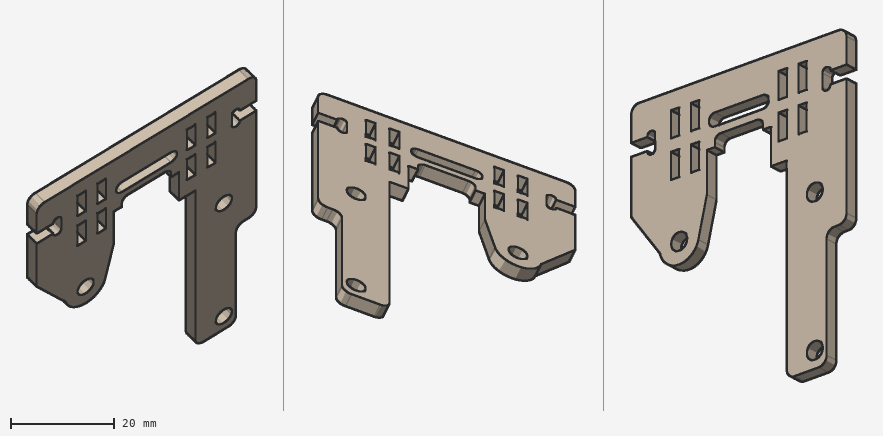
import cadquery as cq
import math

thickness = 3.0
width = 54.0
height = 71.0
half_width = width / 2
top = height / 2
corner_radius = 2.0
hole_diameter = 4.0

leg_inner_y = 12.0
leg_outer_y = 22.0
shoulder_z = top - 41.95

opening_half_width = 8.0
opening_z = top - 15.5
step_z = top - 24.0
recess_half_width = 6.0
recess_z = top - 12.9
recess_radius = 1.5

lug_y = -15.0
hole_z = top - 32.95
lug_radius = 5.0
lug_taper_z = top - 25.05
lug_outer_drop = 1.1

leg_hole_y = 19.0
lower_hole_z = -top + 4.0

slot_z = top - 9.5
slot_width = 3.0
slot_length = 15.0
notch_depth = 6.0
notch_end_width = 2.0
notch_end_length = 5.05

window_width = 2.05
leg_window_height = 6.2
lug_window_height = 6.0
window_offsets = (11.0, 16.0)
window_tops = (top - 4.1, top - 13.05)


def plate(outline):
    """Extrude a closed YZ outline through the thickness."""
    return outline.extrude(thickness / 2, both=True)


def sketch():
    return cq.Workplane("YZ")


def box(y, z, size_y, size_z):
    return plate(sketch().center(y, z).rect(size_y, size_z))


def round_edges(body, points, radius):
    """Round the through-thickness edges at the given (y, z) points."""
    for y, z in points:
        edge = cq.selectors.NearestToPointSelector((0, y, z))
        body = body.edges("|X").edges(edge).fillet(radius)
    return body


def make_body():
    flank_y = -opening_half_width - lug_y
    flank_z = lug_taper_z - hole_z
    reach = math.hypot(flank_y, flank_z)
    tangent_angle = math.atan2(flank_z, flank_y) - math.acos(lug_radius / reach)
    inner_tangent = (
        lug_y + lug_radius * math.cos(tangent_angle),
        hole_z + lug_radius * math.sin(tangent_angle),
    )
    outer_end = (
        lug_y - math.sqrt(lug_radius**2 - lug_outer_drop**2),
        hole_z - lug_outer_drop,
    )
    outline = (
        sketch()
        .moveTo(half_width, top)
        .lineTo(half_width, shoulder_z)
        .lineTo(leg_outer_y, shoulder_z)
        .lineTo(leg_outer_y, -top)
        .lineTo(leg_inner_y, -top)
        .lineTo(leg_inner_y, step_z)
        .lineTo(opening_half_width, step_z)
        .lineTo(opening_half_width, opening_z)
        .lineTo(recess_half_width, opening_z)
        .lineTo(recess_half_width, recess_z)
        .lineTo(-recess_half_width, recess_z)
        .lineTo(-recess_half_width, opening_z)
        .lineTo(-opening_half_width, opening_z)
        .lineTo(-opening_half_width, lug_taper_z)
        .lineTo(*inner_tangent)
        .threePointArc((lug_y, hole_z - lug_radius), outer_end)
        .lineTo(-half_width, step_z)
        .lineTo(-half_width, top)
        .close()
    )
    corners = [
        (half_width, top),
        (-half_width, top),
        (half_width, shoulder_z),
        (leg_outer_y, shoulder_z),
        (leg_outer_y, -top),
        (leg_inner_y, -top),
    ]
    recess_corners = [(recess_half_width, recess_z), (-recess_half_width, recess_z)]
    body = round_edges(plate(outline), corners, corner_radius)
    return round_edges(body, recess_corners, recess_radius)


def cut_holes(body):
    centres = [(lug_y, hole_z), (leg_hole_y, hole_z), (leg_hole_y, lower_hole_z)]
    return body.cut(plate(sketch().pushPoints(centres).circle(hole_diameter / 2)))


def cut_slots(body):
    body = body.cut(plate(sketch().center(0, slot_z).slot2D(slot_length, slot_width)))
    for side in (1, -1):
        end_y = side * (half_width - notch_depth + notch_end_width / 2)
        cross_slot = sketch().center(end_y, slot_z).slot2D(notch_end_length, notch_end_width, 90)
        run = half_width - abs(end_y)
        body = body.cut(box(end_y + side * run / 2, slot_z, run, slot_width))
        body = body.cut(plate(cross_slot))
    return body


def cut_windows(body):
    for side, window_height in ((1, leg_window_height), (-1, lug_window_height)):
        for offset in window_offsets:
            for window_top in window_tops:
                window_z = window_top - window_height / 2
                body = body.cut(box(side * offset, window_z, window_width, window_height))
    return body


result = cut_windows(cut_slots(cut_holes(make_body())))